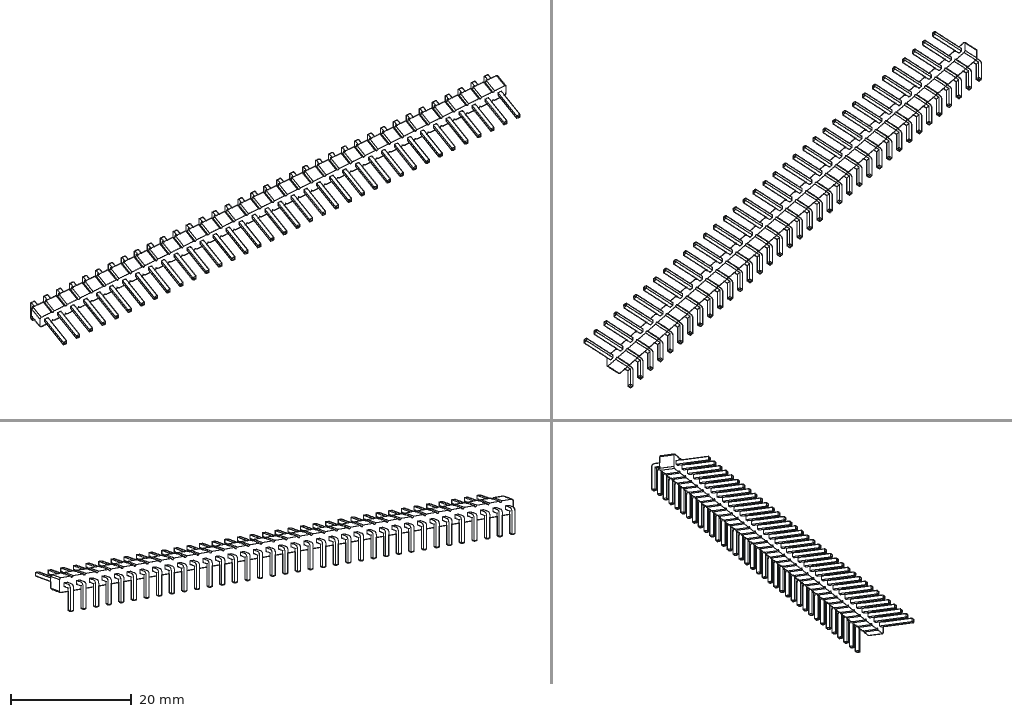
import cadquery as cq

length = 91.4
width = 10.3
height = 5.6
pin_count = 36
pitch = length / pin_count

body_size = 2.6
body_bevel = 0.3

pin_width = 0.6
tail_reach = 1.8
bend_radius = 0.55
tip_chamfer = 0.165

half_body = body_size / 2
half_pin = pin_width / 2
tail_x = -half_body - tail_reach
contact_x = tail_x + width
tip_z = half_body - height


def make_block():
    """One housing block; neighbouring bevels form the V grooves between blocks."""
    block = cq.Workplane("XY").box(body_size, pitch, body_size)
    return block.edges("|X").chamfer(body_bevel)


def make_pin():
    """One L-shaped square pin with a rounded outer bend and tapered tips."""
    inner_x = tail_x + pin_width
    pin = (
        cq.Workplane("XZ")
        .moveTo(tail_x, tip_z)
        .lineTo(tail_x, half_pin - bend_radius)
        .radiusArc((tail_x + bend_radius, half_pin), bend_radius)
        .lineTo(contact_x, half_pin)
        .lineTo(contact_x, -half_pin)
        .lineTo(inner_x, -half_pin)
        .lineTo(inner_x, tip_z)
        .close()
        .extrude(half_pin, both=True)
    )
    return pin.faces("<Z or >X").chamfer(tip_chamfer)


unit = make_block().union(make_pin()).val()
first_y = (pitch - length) / 2
units = [unit.translate(cq.Vector(0, first_y + index * pitch, 0)) for index in range(pin_count)]
result = cq.Workplane("XY").newObject([units[0].fuse(*units[1:]).clean()])